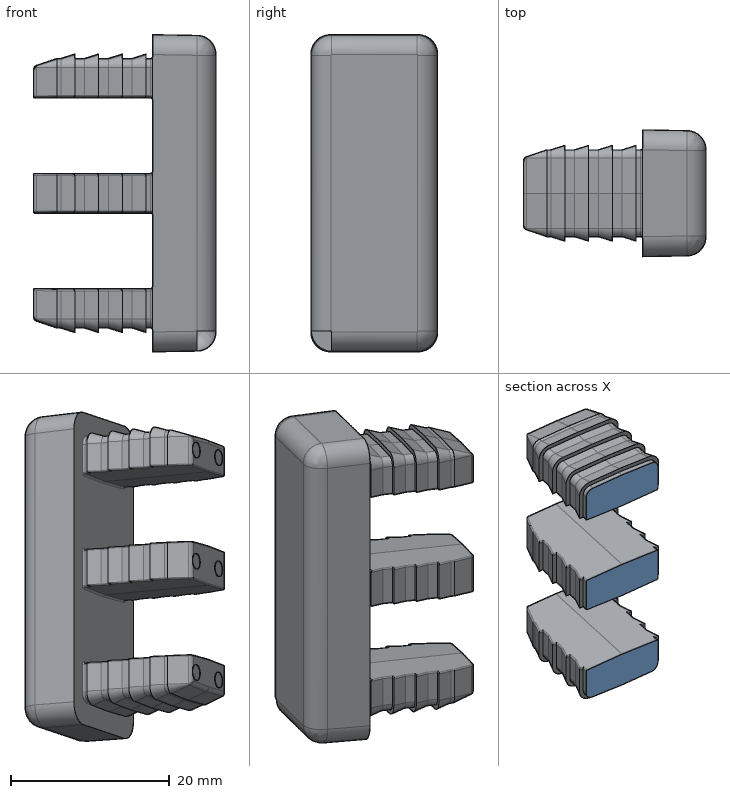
import cadquery as cq
import math

plate_thickness = 8.0
plate_width = 16.0
plate_height = 40.0
plate_draft = 1.0
plate_corner_radius = 2.5
plate_front_radius = 2.45

prong_length = 15.0
core_half_width = 4.45
crown_slope = math.tan(math.radians(1.5))
middle_half_height = 2.5
outer_inner_ridge = 12.0
outer_core_height = 15.85

tip_growth = 0.05
body_growth = 1.05
barb_growth = 1.6

nose_length = 2.95
first_barb_start = 3.45
barb_length = 1.75
barb_pitch = 3.0
barb_count = 4
tip_radius = 0.6
root_radius = 0.25
rim_radius = 0.15

ridged_face_facing = 0.99
tolerance = 0.005

recess_diameter = 2.0
recess_spacing = 6.0
recess_offset = 0.3
recess_depth = 0.1
outer_recess_height = 14.25


def make_plate():
    plate = (
        cq.Workplane("YZ")
        .rect(plate_width, plate_height)
        .extrude(plate_thickness, taper=plate_draft)
    )
    plate = plate.edges("not(|Y or |Z)").fillet(plate_corner_radius)
    return plate.faces(">X").edges().fillet(plate_front_radius)


def middle_section(sketch, growth):
    """Six-sided section with a ridge on both long faces."""
    half_width = core_half_width + growth
    edge_height = middle_half_height - crown_slope * half_width
    return sketch.polyline([
        (-half_width, -edge_height),
        (0, -middle_half_height),
        (half_width, -edge_height),
        (half_width, edge_height),
        (0, middle_half_height),
        (-half_width, edge_height),
    ]).close()


def outer_section(sketch, growth):
    """Section with a ridged inner face and rounded outer corners centred on the core."""
    half_width = core_half_width + growth
    inner_edge = outer_inner_ridge + crown_slope * half_width
    outer_ridge = outer_core_height + crown_slope * core_half_width + growth
    corner_top = outer_core_height + growth
    corner_reach = growth * math.sqrt(0.5)
    mid_y = core_half_width + corner_reach
    mid_z = outer_core_height + corner_reach
    return (
        sketch.moveTo(0, outer_inner_ridge)
        .lineTo(half_width, inner_edge)
        .lineTo(half_width, outer_core_height)
        .threePointArc((mid_y, mid_z), (core_half_width, corner_top))
        .lineTo(0, outer_ridge)
        .lineTo(-core_half_width, corner_top)
        .threePointArc((-mid_y, mid_z), (-half_width, outer_core_height))
        .lineTo(-half_width, inner_edge)
        .close()
    )


def make_segment(section, start, end, start_growth, end_growth):
    """Stretch of prong between two distances from the tip."""
    sketch = section(cq.Workplane("YZ", origin=(start - prong_length, 0, 0)), start_growth)
    sketch = section(sketch.workplane(offset=end - start), end_growth)
    return sketch.loft(ruled=True)


def make_prong(section):
    """Tapered nose, straight body and a row of barbs."""
    nose = make_segment(section, 0, nose_length, tip_growth, body_growth)
    body = make_segment(section, nose_length, prong_length, body_growth, body_growth)
    prong = nose.union(body)
    for index in range(barb_count):
        start = first_barb_start + index * barb_pitch
        barb = make_segment(section, start, start + barb_length, body_growth, barb_growth)
        prong = prong.union(barb)
    return prong


def round_tip(prong, tip_edges):
    return prong.faces("<X").edges(tip_edges).fillet(tip_radius)


def round_rims(prong, ridged_sides):
    """Soften the outline of the ridged faces on the given sides (+1 up, -1 down)."""
    rim = []
    for face in prong.faces("%PLANE").vals():
        facing = face.normalAt().z
        if abs(facing) < ridged_face_facing or math.copysign(1, facing) not in ridged_sides:
            continue
        for edge in face.Edges():
            middle = edge.Center()
            is_root = middle.x > -tolerance
            is_ridge = abs(middle.y) < tolerance
            if not is_root and not is_ridge:
                rim.append(edge)
    return prong.newObject(rim).fillet(rim_radius)


def make_recesses(height):
    """Pair of shallow round recesses in a prong tip."""
    return (
        cq.Workplane("YZ", origin=(-prong_length, recess_offset, height))
        .rarray(recess_spacing, 0.4, 2, 1)
        .circle(recess_diameter / 2)
        .extrude(recess_depth)
    )


def add_root_fillets(part):
    """Blend every prong into the back of the plate."""
    reach_y = core_half_width + barb_growth
    reach_z = outer_core_height + barb_growth
    prong_field = cq.selectors.BoxSelector(
        (-tolerance, -reach_y, -reach_z),
        (tolerance, reach_y, reach_z),
    )
    return part.edges(prong_field).fillet(root_radius)


middle_prong = round_tip(make_prong(middle_section), "|Z")
middle_prong = round_rims(middle_prong, (1, -1))
middle_prong = middle_prong.cut(make_recesses(0))

upper_prong = round_tip(make_prong(outer_section), "not(<Z)")
upper_prong = round_rims(upper_prong, (-1,))
upper_prong = upper_prong.cut(make_recesses(outer_recess_height))

lower_prong = upper_prong.mirror("XY")

result = make_plate()
for prong in (middle_prong, upper_prong, lower_prong):
    result = result.union(prong)
result = add_root_fillets(result)